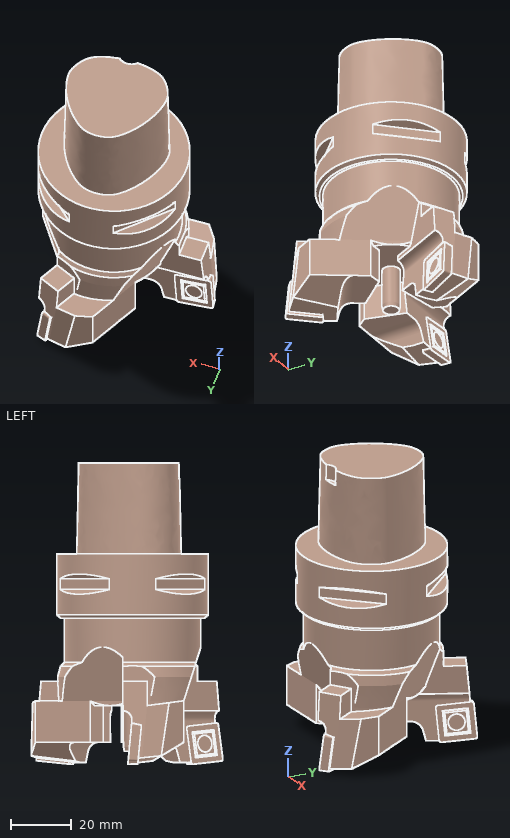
import cadquery as cq
import math


TOOTH_ANGLES = [-56.3, 64, 180]

TOTAL_HEIGHT = 99.2
SHANK_LENGTH = 30.0
FLANGE_TOP = TOTAL_HEIGHT - SHANK_LENGTH
FLANGE_LENGTH = 20.0
FLANGE_BOTTOM = FLANGE_TOP - FLANGE_LENGTH
NECK_TOP = FLANGE_BOTTOM - 1.2
NECK_BOTTOM = 33.5
COLLAR_WIDEST = 28.8
CORE_RIM = 20.9
CORE_BOTTOM = 19.3

FLANGE_RADIUS = 50.0 / 2
FLANGE_CHAMFER_RADIUS = 23.6
NECK_RADIUS = 45.0 / 2
COLLAR_CHAMFER = 1.3
COLLAR_RADIUS = 24.7
COLLAR_FOOT_RADIUS = 24.3
CORE_RADIUS = 16.9

SHANK_MEAN_RADIUS = 17.5
SHANK_LOBE = 1.2
SHANK_ROUNDING = 0.2
SHANK_TAPER = 0.64
SHANK_POINTS = 36
KEY_RADIUS = 4.5
KEY_WALL = 14.0
KEY_DEPTH = 5.3

SLOT_COUNT = 4
SLOT_Z = 59.3
SLOT_FLOOR_RADIUS = 22.2
SLOT_FLOOR_WIDTH = 3.5
SLOT_MOUTH_WIDTH = 6.6

PIN_RADIUS = 6.1 / 2
PIN_BOTTOM = 4.3
PIN_CHAMFER_HEIGHT = 1.5
PIN_CHAMFER_WIDTH = 0.3

INSERT_TILT = 5.4
TILT_SLOPE = math.tan(math.radians(INSERT_TILT))
FRONT_WALL = -3.2
BLOCK_BACK = 4.8
BLOCK_TOP = 27.4
TOOTH_BOTTOM = 0.6
BLOCK_OUTER = 31.3
TOOTH_BACK = 16.9
BACK_CORNER = 27.4
BACK_FACET_SLOPE = 0.7
RELIEF_SLOPE = 0.16
BACK_INNER = 7.2
INNER_CORNER = (4.4, 13.2)
INNER_FRONT = 9.1
COLLAR_FLAT = 23.6
GULLET_SLOPE = 0.32
RAKE_ROOF = 17.7
RAKE_FILLET_START = 14.3
RAKE_AT_BASE = -1.6
GULLET_ROOF = 7.2
GULLET_ARC_START = (16.9, 4.2)
GULLET_ARC_END = 12.7
GULLET_FOOT = 18.0
UNDERSIDE_POINT = (19.8, 0, 0.5)
UNDERSIDE_SLOPE = 0.12
BACK_RELIEF_SLOPE = 0.6

REACH = 59.5

OVERRUN = 1

INSERT_SIZE = 12.7
INSERT_THICKNESS = 3.3
INSERT_CORNER = 0.8
INSERT_CLEARANCE = 7
INSERT_RADIUS = 28.0
INSERT_Z = (
    (INSERT_SIZE / 2 - INSERT_CORNER) * (1 + TILT_SLOPE) * math.cos(math.radians(INSERT_TILT)) + INSERT_CORNER
) * math.cos(math.radians(INSERT_TILT))
GROOVE_SIZE = 8.5
GROOVE_DEPTH = 0.6
GROOVE_SLOPE_ANGLE = 40
ISLAND_FOOT_SIZE = 8.1
SCREW_DIAMETER = 5.6


def turned(body, angle):
    turn = cq.Location(cq.Vector(0, 0, 0), cq.Vector(0, 0, 1), angle)
    return cq.Workplane(body.val().moved(turn))



def shank_outline(mean_radius):
    """Points of the three-lobed profile, one lobe towards +Y."""
    points = []
    for i in range(SHANK_POINTS):
        turn = 2 * math.pi * i / SHANK_POINTS
        lobe = turn - math.pi / 2
        support = mean_radius + SHANK_LOBE * math.cos(3 * lobe) - SHANK_ROUNDING * math.cos(6 * lobe)
        slope = -3 * SHANK_LOBE * math.sin(3 * lobe) + 6 * SHANK_ROUNDING * math.sin(6 * lobe)
        points.append((
            support * math.cos(turn) - slope * math.sin(turn),
            support * math.sin(turn) + slope * math.cos(turn),
        ))
    return points


def make_shank():
    shank = (
        cq.Workplane("XY", origin=(0, 0, FLANGE_TOP))
        .spline(shank_outline(SHANK_MEAN_RADIUS), periodic=True).close()
        .workplane(offset=SHANK_LENGTH)
        .spline(shank_outline(SHANK_MEAN_RADIUS - SHANK_TAPER), periodic=True).close()
        .loft(ruled=True)
    )
    key_notch = (
        cq.Workplane("XY", origin=(0, -KEY_WALL - KEY_RADIUS, TOTAL_HEIGHT))
        .circle(KEY_RADIUS).extrude(-KEY_DEPTH)
    )
    return shank.cut(key_notch)


def make_turned_body():
    profile = [
        (0, FLANGE_TOP),
        (FLANGE_RADIUS, FLANGE_TOP),
        (FLANGE_RADIUS, FLANGE_BOTTOM),
        (FLANGE_CHAMFER_RADIUS, NECK_TOP),
        (NECK_RADIUS, NECK_TOP),
        (NECK_RADIUS, NECK_BOTTOM),
        (NECK_RADIUS + COLLAR_CHAMFER, NECK_BOTTOM - COLLAR_CHAMFER),
        (COLLAR_RADIUS, COLLAR_WIDEST),
        (COLLAR_FOOT_RADIUS, CORE_RIM),
        (CORE_RADIUS + CORE_RIM - CORE_BOTTOM, CORE_RIM),
        (CORE_RADIUS, CORE_BOTTOM),
        (0, CORE_BOTTOM),
    ]
    return cq.Workplane("XZ").polyline(profile).close().revolve(360, (0, 0), (0, 1))


def make_gripper_slot():
    """Slot with a flat floor and sloping side walls, facing +X."""
    outer = FLANGE_RADIUS + OVERRUN
    flare = (SLOT_MOUTH_WIDTH - SLOT_FLOOR_WIDTH) / 2 / (FLANGE_RADIUS - SLOT_FLOOR_RADIUS)
    half_floor = SLOT_FLOOR_WIDTH / 2
    half_mouth = half_floor + flare * (outer - SLOT_FLOOR_RADIUS)
    return (
        cq.Workplane("XZ")
        .polyline([
            (SLOT_FLOOR_RADIUS, SLOT_Z - half_floor),
            (outer, SLOT_Z - half_mouth),
            (outer, SLOT_Z + half_mouth),
            (SLOT_FLOOR_RADIUS, SLOT_Z + half_floor),
        ]).close().extrude(FLANGE_RADIUS, both=True)
    )


def make_pin():
    return (
        cq.Workplane("XY", origin=(0, 0, PIN_BOTTOM))
        .circle(PIN_RADIUS).extrude(CORE_RIM - PIN_BOTTOM)
        .faces("<Z").chamfer(PIN_CHAMFER_HEIGHT, PIN_CHAMFER_WIDTH)
    )



def make_gullet(pitch):
    """Leaning flat behind one tooth, ended by the front wall of the next tooth."""
    top_y = TOOTH_BACK + GULLET_SLOPE * (NECK_TOP - CORE_RIM)
    leaning_flat = (
        cq.Workplane("YZ")
        .polyline([
            (TOOTH_BACK, 0),
            (TOOTH_BACK, CORE_RIM),
            (top_y, NECK_TOP),
            (REACH, NECK_TOP),
            (REACH, 0),
        ]).close().extrude(REACH, both=True)
    )
    next_tooth_side = cq.Workplane("XY").box(
        2 * REACH, REACH, 2 * REACH, centered=(True, False, True)
    ).translate((0, FRONT_WALL, 0))
    return leaning_flat.cut(turned(next_tooth_side, pitch))


def make_collar_flat():
    return cq.Workplane("XY").box(
        REACH, 2 * TOOTH_BACK, NECK_BOTTOM, centered=(False, True, False)
    ).translate((COLLAR_FLAT, 0, 0))


def tooth_section(z):
    """Plan outline of a tooth at one height; its outer side leans inwards going up."""
    outer = BLOCK_OUTER + TILT_SLOPE * (BLOCK_TOP - z)
    relief_start = BLOCK_BACK + TILT_SLOPE * (z - CORE_BOTTOM)
    facet_y = (
        BACK_CORNER + BACK_FACET_SLOPE * TOOTH_BACK - outer - RELIEF_SLOPE * relief_start
    ) / (BACK_FACET_SLOPE - RELIEF_SLOPE)
    facet_x = BACK_CORNER + BACK_FACET_SLOPE * (TOOTH_BACK - facet_y)
    return [
        (INNER_FRONT, FRONT_WALL),
        (outer, FRONT_WALL),
        (outer, relief_start),
        (facet_x, facet_y),
        (BACK_CORNER, TOOTH_BACK),
        (BACK_INNER, TOOTH_BACK),
        INNER_CORNER,
    ]


def space_below(origin, normal):
    plane = cq.Plane(origin=origin, xDir=(1, 0, -normal[0] / normal[2]), normal=normal)
    return cq.Workplane(plane).rect(2 * REACH, 2 * REACH).extrude(-REACH)


def rake_wall(z):
    return RAKE_AT_BASE + TILT_SLOPE * z


def make_tooth():
    tooth = (
        cq.Workplane("XY", origin=(0, 0, TOOTH_BOTTOM))
        .polyline(tooth_section(TOOTH_BOTTOM)).close()
        .workplane(offset=BLOCK_TOP - TOOTH_BOTTOM)
        .polyline(tooth_section(BLOCK_TOP)).close()
        .loft(ruled=True)
    )
    collar_core = cq.Workplane("XY").circle(COLLAR_FOOT_RADIUS).extrude(REACH).cut(make_collar_flat())
    back_step = (
        cq.Workplane("YZ")
        .polyline([
            (BLOCK_BACK, CORE_BOTTOM),
            (TOOTH_BACK, CORE_RIM),
            (REACH, CORE_RIM),
            (REACH, REACH),
            (BLOCK_BACK, REACH),
        ]).close().extrude(REACH)
        .cut(collar_core)
    )
    rake_recess = (
        cq.Workplane("YZ")
        .moveTo(rake_wall(0), 0)
        .lineTo(rake_wall(RAKE_FILLET_START), RAKE_FILLET_START)
        .tangentArcPoint((FRONT_WALL, RAKE_ROOF), relative=False)
        .lineTo(-REACH, RAKE_ROOF)
        .lineTo(-REACH, 0)
        .close().extrude(REACH)
    )
    inner_gullet = (
        cq.Workplane("XZ")
        .moveTo(GULLET_FOOT, 0)
        .lineTo(*GULLET_ARC_START)
        .tangentArcPoint((GULLET_ARC_END, GULLET_ROOF), relative=False)
        .lineTo(0, GULLET_ROOF)
        .lineTo(0, 0)
        .close().extrude(REACH, both=True)
    )
    underside = space_below(UNDERSIDE_POINT, (-TILT_SLOPE, -UNDERSIDE_SLOPE, 1))
    back_relief = space_below((0, TOOTH_BACK, GULLET_ROOF), (0, -BACK_RELIEF_SLOPE, 1))
    for removed in (back_step, rake_recess, inner_gullet, underside, back_relief):
        tooth = tooth.cut(removed)
    return tooth



def insert_face(depth=0):
    """Workplane on the insert, at a depth below its cutting face."""
    plane = cq.Plane(
        origin=(INSERT_RADIUS, rake_wall(INSERT_Z), INSERT_Z),
        xDir=(1, 0, 0),
        normal=(0, -1, TILT_SLOPE),
    )
    return cq.Workplane(plane.rotated((0, 0, INSERT_TILT))).workplane(offset=-depth)


def make_insert_blank():
    square = cq.Sketch().rect(INSERT_SIZE, INSERT_SIZE).vertices().fillet(INSERT_CORNER)
    return insert_face().placeSketch(square).extrude(-INSERT_THICKNESS, taper=INSERT_CLEARANCE)


def make_screw():
    return insert_face().circle(SCREW_DIAMETER / 2).extrude(-INSERT_THICKNESS)


def make_chip_groove():
    """Square ring with a straight outer wall; its floor slopes up to the face around a centre island."""
    pocket = insert_face().rect(GROOVE_SIZE, GROOVE_SIZE).extrude(-GROOVE_DEPTH)
    island = (
        insert_face(GROOVE_DEPTH).rect(ISLAND_FOOT_SIZE, ISLAND_FOOT_SIZE)
        .extrude(GROOVE_DEPTH, taper=GROOVE_SLOPE_ANGLE)
    )
    return pocket.cut(island)


def make_insert():
    return make_insert_blank().cut(make_chip_groove()).cut(make_screw())



def make_holder():
    body = make_turned_body()
    for i in range(SLOT_COUNT):
        body = body.cut(turned(make_gripper_slot(), (i + 0.5) * 360 / SLOT_COUNT))
    tooth = make_tooth().cut(make_insert_blank())
    for i, angle in enumerate(TOOTH_ANGLES):
        pitch = (TOOTH_ANGLES[(i + 1) % len(TOOTH_ANGLES)] - angle) % 360
        body = body.cut(turned(make_gullet(pitch), angle))
        body = body.cut(turned(make_collar_flat(), angle))
    for angle in TOOTH_ANGLES:
        body = body.union(turned(tooth, angle))
    return body.union(make_shank()).union(make_pin())


holder = make_holder()
inserts = [turned(make_insert(), angle) for angle in TOOTH_ANGLES]
screws = [turned(make_screw(), angle) for angle in TOOTH_ANGLES]

result = cq.Compound.makeCompound(
    [holder.val()] + [insert.val() for insert in inserts] + [screw.val() for screw in screws]
)